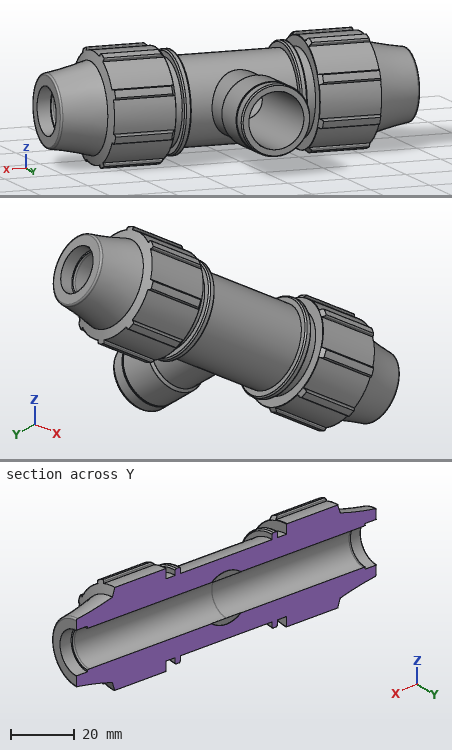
import cadquery as cq
import math

length = 122.0
half_length = length / 2
tube_radius = 29.3 / 2
bore_radius = 14.4 / 2
socket_radius = 16.0 / 2
socket_depth = 4.5
lead_in_inset = 0.18
lead_in_length = 0.7

collar_radius = 33.9 / 2
collar_start = 40.1
collar_width = 2.3
collar_chamfer = 0.5

nut_radius = 18.3
nut_cone_start = 14.6
nut_end = 36.6
nose_tip_radius = 11.5
nose_front_radius = 12.1
nose_edge = 0.6
nose_base_radius = 15.1
nose_sag = 0.2
rib_count = 8
rib_top_radius = 19.4
rib_width = 3.3
rib_fillet = 0.6
rib_chamfer = 1.2
rib_front_place = 16.0

rib_pitch = 360 / rib_count
rib_tilt = math.radians(rib_pitch / 2)
rib_reach = (
    (rib_top_radius - rib_fillet) * math.cos(rib_tilt)
    + (rib_width / 2 - rib_fillet) * math.sin(rib_tilt)
    + rib_fillet
)

overall_width = 60.4
branch_end = overall_width - rib_reach
branch_radius = 23.3 / 2
branch_neck_radius = 21.5 / 2
branch_bore_radius = 18.7 / 2
shoulder_start = 24.3
shoulder_length = 0.9
rim_length = 0.7
rim_inset = 0.4
groove_place = 37.2
groove_width = 0.5
groove_depth = 0.1


def cylinder_x(radius, start, end):
    """Cylinder on the X axis between two X places."""
    return cq.Workplane("YZ").workplane(offset=start).circle(radius).extrude(end - start)


def nut_envelope():
    """Turned shape of nose and nut, conical at both ends of the ribs."""
    nose_front = (nose_edge - half_length, nose_front_radius)
    nose_base = (nut_cone_start - half_length, nose_base_radius)
    nose_middle = (
        (nose_front[0] + nose_base[0]) / 2,
        (nose_front[1] + nose_base[1]) / 2 - nose_sag,
    )
    nut_back = nut_end - half_length
    return (
        cq.Workplane("XY")
        .moveTo(-half_length, 0)
        .lineTo(-half_length, nose_tip_radius)
        .tangentArcPoint(nose_front, relative=False)
        .threePointArc(nose_middle, nose_base)
        .lineTo(rib_front_place - half_length, rib_top_radius)
        .lineTo(nut_back - rib_chamfer, rib_top_radius)
        .lineTo(nut_back, rib_top_radius - rib_chamfer)
        .lineTo(nut_back, 0)
        .close()
        .revolve(360, (0, 0, 0), (1, 0, 0))
    )


def make_nut():
    """Ribbed nut with its nose, at the -X end."""
    nut_back = nut_end - half_length
    ribbed_bar = cylinder_x(nut_radius, -half_length, nut_back)
    rib = (
        cq.Workplane("XY")
        .box(nut_end, rib_width, rib_top_radius, centered=(False, True, False))
        .edges("|X and >Z")
        .fillet(rib_fillet)
        .translate((-half_length, 0, 0))
    )
    for index in range(rib_count):
        ribbed_bar = ribbed_bar.union(rib.rotate((0, 0, 0), (1, 0, 0), (index + 0.5) * rib_pitch))
    return ribbed_bar.intersect(nut_envelope())


def make_collar():
    """Thin collar on the tube next to the -X nut."""
    start = collar_start - half_length
    return cylinder_x(collar_radius, start, start + collar_width).edges().chamfer(collar_chamfer)


def make_branch():
    """Solid branch with shoulder, groove and chamfered rim."""
    groove_start = groove_place - groove_width / 2
    groove_end = groove_place + groove_width / 2
    groove_radius = branch_radius - groove_depth
    outline = [
        (0, 0),
        (branch_neck_radius, 0),
        (branch_neck_radius, shoulder_start),
        (branch_radius, shoulder_start + shoulder_length),
        (branch_radius, groove_start),
        (groove_radius, groove_start),
        (groove_radius, groove_end),
        (branch_radius, groove_end),
        (branch_radius, branch_end - rim_length),
        (branch_radius - rim_inset, branch_end),
        (0, branch_end),
    ]
    return cq.Workplane("XY").polyline(outline).close().revolve(360, (0, 0, 0), (0, 1, 0))


def make_end_bore():
    """Half of the run's bore at the -X end: socket, flat step, conical lead-in and plain bore."""
    step = socket_depth - half_length
    return (
        cq.Workplane("XY")
        .moveTo(-half_length, 0)
        .lineTo(-half_length, socket_radius)
        .lineTo(step, socket_radius)
        .lineTo(step, bore_radius + lead_in_inset)
        .lineTo(step + lead_in_length, bore_radius)
        .lineTo(0, bore_radius)
        .lineTo(0, 0)
        .close()
        .revolve(360, (0, 0, 0), (1, 0, 0))
    )


end_fitting = make_nut().union(make_collar())
body = cylinder_x(tube_radius, nut_end - half_length, half_length - nut_end)
body = body.union(end_fitting).union(end_fitting.mirror("YZ")).union(make_branch())

body = body.cut(make_end_bore()).cut(make_end_bore().mirror("YZ"))
branch_bore = cq.Workplane("XZ").circle(branch_bore_radius).extrude(-branch_end)
result = body.cut(branch_bore)